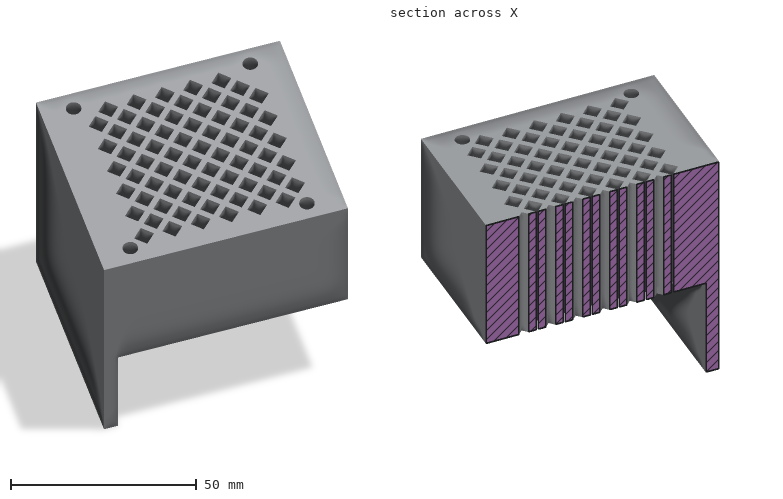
import cadquery as cq
import math

width = 60.0
depth = 69.0
height = 70.0
block_height = 40.0
apron_thickness = 4.0

screw_diameter = 4.2
screw_spacing = 50.0
screw_back_margin = 10.0
screw_center_y = depth / 2 - screw_back_margin - screw_spacing / 2

opening_side = 4.0
grid_count = 12
grid_span = 44.0
grid_step = grid_span / (grid_count - 1)
grid_center_x = 0.15
grid_center_y = 1.3


def make_body():
    """L-shaped side profile extruded across the width, with the top face at Z = height / 2."""
    front = -depth / 2
    back = depth / 2
    top = height / 2
    bottom = -height / 2
    block_bottom = top - block_height
    profile = [
        (front, bottom),
        (front, top),
        (back, top),
        (back, block_bottom),
        (front + apron_thickness, block_bottom),
        (front + apron_thickness, bottom),
    ]
    return cq.Workplane("YZ").polyline(profile).close().extrude(width / 2, both=True)


def grille_centers():
    """Every second point of a square grid, with the back-left corner left closed."""
    left = grid_center_x - grid_span / 2
    front = grid_center_y - grid_span / 2
    centers = []
    for row in range(grid_count):
        for column in range(grid_count):
            is_open = (row + column) % 2 == 1
            is_closed_corner = column == 0 and row == grid_count - 1
            if is_open and not is_closed_corner:
                x = left + column * grid_step
                y = front + row * grid_step
                centers.append((x, y))
    return centers


def make_screw_holes(plane):
    """Four cylinders through the full height of the block."""
    return (
        plane.center(0, screw_center_y)
        .rect(screw_spacing, screw_spacing, forConstruction=True)
        .vertices()
        .circle(screw_diameter / 2)
        .extrude(-block_height)
    )


def make_grille(plane):
    """Diamond prisms through the full height of the block."""
    opening_diagonal = opening_side * math.sqrt(2)
    return (
        plane.pushPoints(grille_centers())
        .polygon(4, opening_diagonal)
        .extrude(-block_height)
    )


top_plane = cq.Workplane("XY", origin=(0, 0, height / 2))
result = make_body().cut(make_screw_holes(top_plane)).cut(make_grille(top_plane))